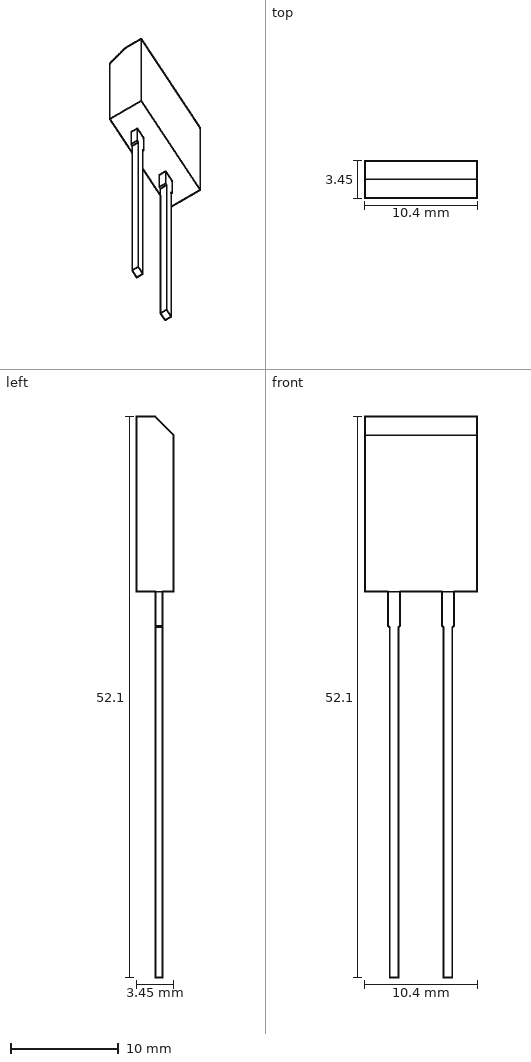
import cadquery as cq

TOTAL_HEIGHT = 52.1

HOUSING_WIDTH = 10.4
HOUSING_DEPTH = 3.45
HOUSING_HEIGHT = 16.25
BEVEL = 1.7

LEAD_PITCH = 5.0
LEAD_WIDTH = 0.85
LEAD_THICKNESS = 0.7
LEAD_OFFSET_Y = -0.35
SHOULDER_WIDTH = 1.15
SHOULDER_LENGTH = 3.2
TAPER_LENGTH = 0.15
LEAD_LENGTH = TOTAL_HEIGHT - HOUSING_HEIGHT


def make_housing():
    """Block standing on Z = 0, bevelled along its front top edge."""
    block = cq.Workplane("XY").box(
        HOUSING_WIDTH, HOUSING_DEPTH, HOUSING_HEIGHT, centered=(True, True, False)
    )
    return block.faces("<Y").edges(">Z").chamfer(BEVEL)


def make_lead(center_x):
    """Strip with a short taper below its shoulder, hanging from the underside of the housing."""
    half_shoulder = SHOULDER_WIDTH / 2
    half_lead = LEAD_WIDTH / 2
    taper_end = SHOULDER_LENGTH + TAPER_LENGTH
    outline = [
        (-half_shoulder, 0),
        (half_shoulder, 0),
        (half_shoulder, -SHOULDER_LENGTH),
        (half_lead, -taper_end),
        (half_lead, -LEAD_LENGTH),
        (-half_lead, -LEAD_LENGTH),
        (-half_lead, -taper_end),
        (-half_shoulder, -SHOULDER_LENGTH),
    ]
    return (
        cq.Workplane("XZ", origin=(center_x, LEAD_OFFSET_Y, 0))
        .polyline(outline)
        .close()
        .extrude(LEAD_THICKNESS / 2, both=True)
    )


housing = make_housing()
leads = [make_lead(side * LEAD_PITCH / 2) for side in (-1, 1)]

result = cq.Compound.makeCompound([housing.val(), *[lead.val() for lead in leads]])